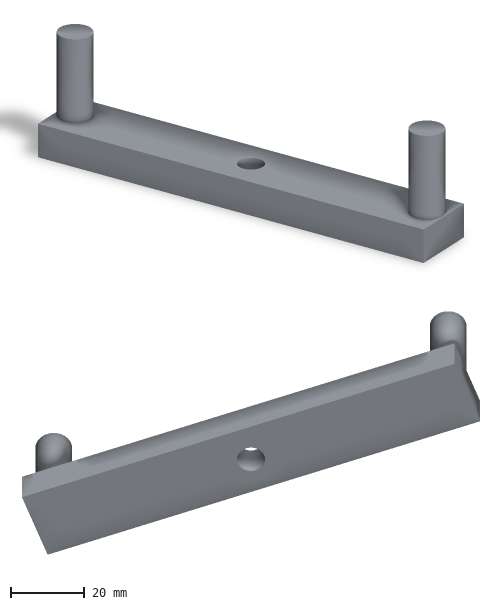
import cadquery as cq

bar_length = 125.0
bar_width = 20.0
bar_height = 10.0

pin_diameter = 10.0
pin_height = 25.0
pin_spacing = 114.0

hole_diameter = 7.6

bar = cq.Workplane("XY").box(bar_length, bar_width, bar_height, centered=(True, True, False))

pins = (
    cq.Workplane("XY")
    .pushPoints([(-pin_spacing / 2, 0), (pin_spacing / 2, 0)])
    .circle(pin_diameter / 2)
    .extrude(bar_height + pin_height)
)

hole = cq.Workplane("XY").circle(hole_diameter / 2).extrude(bar_height)

result = bar.union(pins).cut(hole)